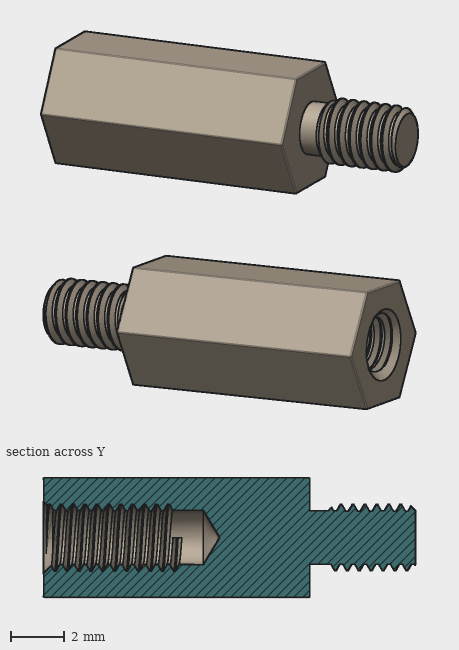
import cadquery as cq
import math

total_length = 13.97
body_length = 10.0
stud_length = total_length - body_length

across_flats = 4.5
edge_radius = 0.05

major_radius = 2.5 / 2
pitch = 0.45
flank_slope = math.tan(math.radians(60 / 2))
narrow_flat = pitch / 8
wide_flat = pitch / 4
thread_depth = (pitch - narrow_flat - wide_flat) / 2 / flank_slope
minor_radius = major_radius - thread_depth
ridge_overlap = 0.03

neck_length = 0.68
thread_start = body_length + neck_length
thread_length = stud_length - neck_length
stud_crest_at = body_length + 1.06

mouth_radius = 2.71 / 2
mouth_depth = mouth_radius - minor_radius
hole_depth = 6.01
drill_half_angle = math.radians(118 / 2)
socket_thread_end = 5.03
socket_groove_at = 0.11


def revolve_about_x(points):
    """Solid of revolution about X from an (x, radius) outline."""
    return cq.Workplane("XY").polyline(points).close().revolve(360, (0, 0, 0), (1, 0, 0))


def helical_ridge(crest_at, first_turn, last_turn):
    """Right-handed thread ridge about X, with its crest centred on X = crest_at at the +Y side.

    The turn numbers count pitches from crest_at."""
    root_radius = minor_radius - ridge_overlap
    root_half_width = (pitch - wide_flat) / 2 + ridge_overlap * flank_slope
    crest_half_width = narrow_flat / 2
    start = first_turn * pitch
    helix = cq.Wire.makeHelix(pitch, (last_turn - first_turn) * pitch, root_radius)
    profile = cq.Workplane("XZ").polyline([
        (root_radius, -root_half_width),
        (major_radius, -crest_half_width),
        (major_radius, crest_half_width),
        (root_radius, root_half_width),
    ]).close()
    ridge = profile.sweep(cq.Workplane(obj=helix), isFrenet=True)
    return ridge.rotate((0, 0, 0), (1, 1, 1), 120).translate((crest_at + start, 0, 0))


def hex_body():
    across_corners = across_flats / math.cos(math.radians(30))
    prism = cq.Workplane("YZ").polygon(6, across_corners).extrude(body_length)
    return prism.edges().fillet(edge_radius)


def stud():
    cone_height = 2 * thread_depth
    envelope = revolve_about_x([
        (thread_start, 0),
        (thread_start, minor_radius),
        (thread_start + cone_height, minor_radius + cone_height),
        (total_length - cone_height, minor_radius + cone_height),
        (total_length, minor_radius),
        (total_length, 0),
    ])
    ridge = helical_ridge(stud_crest_at, -2, math.ceil(thread_length / pitch))
    core = cq.Workplane("YZ", origin=(body_length, 0, 0)).circle(minor_radius).extrude(stud_length)
    return core.union(ridge.intersect(envelope))


def socket_drill():
    tip = hole_depth + minor_radius / math.tan(drill_half_angle)
    return revolve_about_x([
        (0, 0),
        (0, mouth_radius),
        (mouth_depth, minor_radius),
        (hole_depth, minor_radius),
        (tip, 0),
    ])


def socket_thread():
    return helical_ridge(socket_groove_at, -1, math.floor(socket_thread_end / pitch))


result = hex_body().union(stud()).cut(socket_drill()).cut(socket_thread())